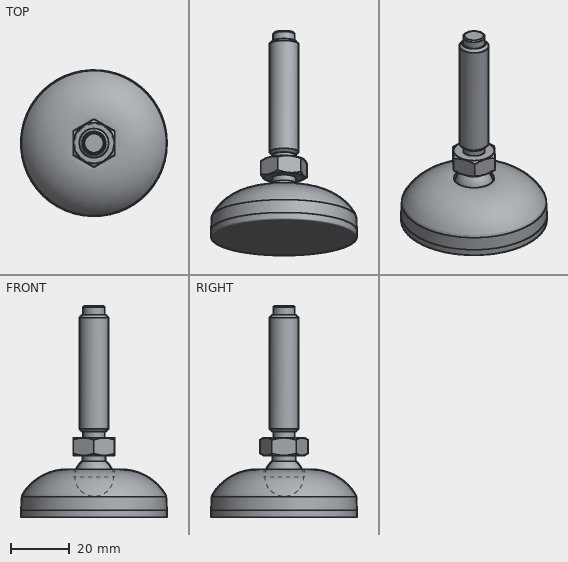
import cadquery as cq
import math

foot_diameter = 50.0
foot_radius = foot_diameter / 2
pad_height = 2.4
pad_edge_round = 0.5

housing_top = 16.5
rim_top = 7.0
rim_top_radius = 24.75
dome_bottom = 7.9
dome_bottom_radius = 24.4
crown_radius = 9.0
socket_radius = 13.7 / 2

ball_radius = 13.28 / 2
neck_radius = 8.06 / 2
neck_bottom = 19.2
ball_center = neck_bottom - math.sqrt(ball_radius**2 - neck_radius**2)

hex_bottom = 21.1
hex_height = 6.1
hex_across_flats = 14.2
hex_sides = 6
hex_turn = 180 / hex_sides
hex_top = hex_bottom + hex_height
hex_corner_radius = hex_across_flats / 2 / math.cos(math.pi / hex_sides)
hex_face_radius = 13.9 / 2
hex_chamfer_angle = math.radians(30)
hex_chamfer_drop = (hex_corner_radius - hex_face_radius) * math.tan(hex_chamfer_angle)

total_height = 72.2
rod_radius = 10.0 / 2
relief_radius = 7.5 / 2
relief_height = 2.0
rod_chamfer = 1.0
tip_length = 3.0
tip_chamfer = 0.5
rod_bottom = hex_top + relief_height
rod_top = total_height - tip_length
rod_end_radius = rod_radius - rod_chamfer


def make_pad():
    """Plain round disc with a rounded lower edge."""
    disc = cq.Workplane("XY").circle(foot_radius).extrude(pad_height)
    return disc.faces("<Z").edges().fillet(pad_edge_round)


def make_ball():
    """Ball that the foot swivels on."""
    return cq.Workplane("XY").sphere(ball_radius).translate((0, 0, ball_center))


def make_housing():
    """Domed foot whose socket has a round seat that fits the lower half of the ball."""
    dome_run = dome_bottom_radius - crown_radius
    dome_drop = housing_top - dome_bottom
    dome_radius = (dome_run**2 + dome_drop**2) / (2 * dome_drop)
    half_sweep = math.asin(dome_run / dome_radius) / 2
    dome_middle = (
        crown_radius + dome_radius * math.sin(half_sweep),
        housing_top - dome_radius * (1 - math.cos(half_sweep)),
    )
    body = (
        cq.Workplane("XZ")
        .moveTo(0, pad_height)
        .lineTo(foot_radius, pad_height)
        .lineTo(rim_top_radius, rim_top)
        .lineTo(dome_bottom_radius, dome_bottom)
        .threePointArc(dome_middle, (crown_radius, housing_top))
        .lineTo(0, housing_top)
        .close()
        .revolve(360, (0, 0, 0), (0, 1, 0))
    )
    socket = (
        cq.Workplane("XY")
        .workplane(offset=ball_center)
        .circle(socket_radius)
        .extrude(housing_top - ball_center)
    )
    return body.cut(socket).cut(make_ball())


def make_hexagon():
    """Hexagon with flats facing +X and -X, its corners chamfered at both ends."""
    prism = (
        cq.Workplane("XY")
        .workplane(offset=hex_bottom)
        .polygon(hex_sides, 2 * hex_corner_radius)
        .extrude(hex_height)
        .rotate((0, 0, 0), (0, 0, 1), hex_turn)
    )
    chamfer_envelope = (
        cq.Workplane("XZ")
        .moveTo(0, hex_bottom)
        .lineTo(hex_face_radius, hex_bottom)
        .lineTo(hex_corner_radius, hex_bottom + hex_chamfer_drop)
        .lineTo(hex_corner_radius, hex_top - hex_chamfer_drop)
        .lineTo(hex_face_radius, hex_top)
        .lineTo(0, hex_top)
        .close()
        .revolve(360, (0, 0, 0), (0, 1, 0))
    )
    return prism.intersect(chamfer_envelope)


def make_shank():
    """Thread relief, rod chamfered at both ends and a reduced tip."""
    return (
        cq.Workplane("XZ")
        .moveTo(0, hex_top)
        .lineTo(relief_radius, hex_top)
        .lineTo(relief_radius, rod_bottom)
        .lineTo(rod_end_radius, rod_bottom)
        .lineTo(rod_radius, rod_bottom + rod_chamfer)
        .lineTo(rod_radius, rod_top - rod_chamfer)
        .lineTo(rod_end_radius, rod_top)
        .lineTo(relief_radius, rod_top)
        .lineTo(relief_radius, total_height - tip_chamfer)
        .lineTo(relief_radius - tip_chamfer, total_height)
        .lineTo(0, total_height)
        .close()
        .revolve(360, (0, 0, 0), (0, 1, 0))
    )


def make_spindle():
    """Ball, neck, hexagon and shank in one piece."""
    neck = (
        cq.Workplane("XY")
        .workplane(offset=ball_center)
        .circle(neck_radius)
        .extrude(hex_bottom - ball_center)
    )
    return make_ball().union(neck).union(make_hexagon()).union(make_shank())


pad = make_pad()
housing = make_housing()
spindle = make_spindle()

result = cq.Compound.makeCompound([pad.val(), housing.val(), spindle.val()])